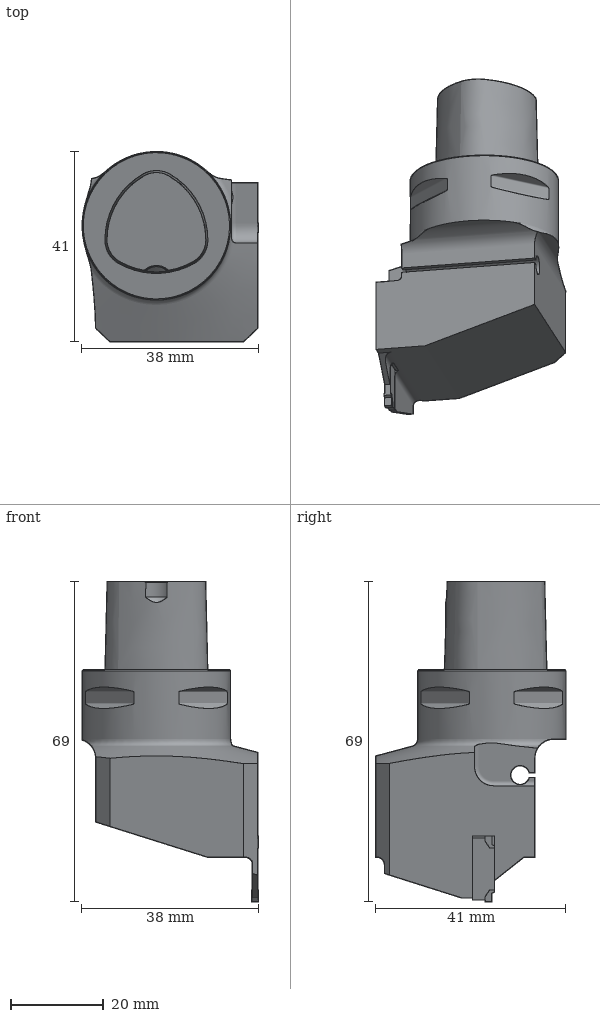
import cadquery as cq
import math


SHANK_LENGTH = 19.0
SHANK_TAPER = 1.35
LOBE_COUNT = 3
LOBE_OFFSET = 6.1
LOBE_RADIUS = 5.8

NOTCH_RADIUS = 3.4
NOTCH_DEPTH = 3.4
NOTCH_RIM_CHAMFER = 0.25
NOTCH_AXIS_Y = -12.2
NOTCH_POINT_HALF_ANGLE = 45.0

FLANGE_RADIUS = 16.0
FLANGE_HEIGHT = 15.0
FLANGE_CHAMFER = 0.25
GROOVE_COUNT = 4
GROOVE_FLOOR_DISTANCE = 14.2
GROOVE_CENTRE_Z = -6.05
GROOVE_FLOOR_HEIGHT = 2.7
GROOVE_RIM_HEIGHT = 4.6
GROOVE_ROOT_RADIUS = 0.35

BLOCK_LEFT_X = -13.1
BLOCK_RIGHT_X = 21.85
BLOCK_FRONT_Y = -25.0
BLOCK_BACK_Y = 9.3
BLOCK_BOTTOM_Z = -40.4
BLOCK_LOW_LEFT_Z = -32.8
BLOCK_SLOPE_END_X = 11.0
CORNER_CHAMFER_X = 3.1
CORNER_CHAMFER_Y = 2.95
FLARE_RADIUS = 4.0
SHOULDER_ANGLE = 15.0
SHOULDER_FILLET = 1.5
SHOULDER_REACH = 40.0

CORNER_WALL_X = 16.2
CORNER_WALL_Y = -3.7
CORNER_DEPTH = 10.0
CORNER_WALL_FILLET = 1.0
CORNER_END_FILLET = 4.1

RELIEF_RADIUS = 2.0
RELIEF_Y = 6.1
RELIEF_Z = -22.7
SLIT_WIDTH = 1.0

INSERT_TIP_Z = -50.0
INSERT_TOP_Z = -35.8
INSERT_MID_Z = (INSERT_TIP_Z + INSERT_TOP_Z) / 2
INSERT_FRONT_Y = -4.2
INSERT_BACK_Y = 0.6
INSERT_HEAD_LEFT_X = 20.5
INSERT_HEAD_RIGHT_X = 22.02
INSERT_SIDE_RELIEF = 0.1
INSERT_END_RELIEF = 0.4
HEAD_LENGTH = 2.6
RAKE_LENGTH = 1.8
RAKE_RISE = 0.7
HEAD_SHOULDER_Y = -0.45
HEAD_FRONT_Y = -1.45
HEAD_FRONT_LENGTH = 1.1

BLADE_LEFT_X = 20.7
BLADE_ROOT_RADIUS = 1.6
BLADE_BACK_Y = 6.9
BLADE_SUPPORT_Z = -45.4
BLADE_TOE_Z = -49.2
BLADE_TOE_Y = -6.4
BLADE_HEEL_Y = -23.1
BLADE_HEEL_Z = -43.9
ROOT_CLEARANCE_Z = -40.6

CLEARANCE = 5.0


def polar(centre, radius, degrees):
    """Point at a radius and a direction from a centre."""
    angle = math.radians(degrees)
    return (centre[0] + radius * math.cos(angle), centre[1] + radius * math.sin(angle))


def make_shank():
    """Each flank is centred on the opposite lobe, which gives the section a constant width."""
    step = 360 / LOBE_COUNT
    lobe_spacing = 2 * LOBE_OFFSET * math.sin(math.radians(step / 2))
    flank_radius = LOBE_RADIUS + lobe_spacing
    half_arc = step / 4
    first_lobe_angle = 90
    first_centre = polar((0, 0), LOBE_OFFSET, first_lobe_angle)
    first_point = polar(first_centre, LOBE_RADIUS, first_lobe_angle - half_arc)
    section = cq.Workplane("XY").moveTo(*first_point)
    for index in range(LOBE_COUNT):
        lobe_angle = first_lobe_angle + index * step
        flank_angle = lobe_angle + step / 2
        lobe_centre = polar((0, 0), LOBE_OFFSET, lobe_angle)
        flank_centre = polar((0, 0), LOBE_OFFSET, flank_angle + 180)
        section = section.threePointArc(
            polar(lobe_centre, LOBE_RADIUS, lobe_angle),
            polar(lobe_centre, LOBE_RADIUS, lobe_angle + half_arc),
        )
        section = section.threePointArc(
            polar(flank_centre, flank_radius, flank_angle),
            polar(flank_centre, flank_radius, flank_angle + half_arc),
        )
    shank = section.close().extrude(SHANK_LENGTH, taper=SHANK_TAPER)
    return shank.cut(make_orienting_notch())


def make_orienting_notch():
    floor_z = SHANK_LENGTH - NOTCH_DEPTH
    point_z = floor_z - NOTCH_RADIUS / math.tan(math.radians(NOTCH_POINT_HALF_ANGLE))
    return (
        cq.Workplane("XZ", origin=(0, NOTCH_AXIS_Y, 0))
        .moveTo(0, SHANK_LENGTH)
        .lineTo(NOTCH_RADIUS + NOTCH_RIM_CHAMFER, SHANK_LENGTH)
        .lineTo(NOTCH_RADIUS, SHANK_LENGTH - NOTCH_RIM_CHAMFER)
        .lineTo(NOTCH_RADIUS, floor_z)
        .lineTo(0, point_z)
        .close()
        .revolve(360, (0, 0, 0), (0, 1, 0))
    )


def make_groove():
    """Cutter for one gripper groove, with its floor facing +X."""
    flare = (GROOVE_RIM_HEIGHT - GROOVE_FLOOR_HEIGHT) / 2 / (FLANGE_RADIUS - GROOVE_FLOOR_DISTANCE)
    rim_x = FLANGE_RADIUS + CLEARANCE
    half_floor = GROOVE_FLOOR_HEIGHT / 2
    half_rim = half_floor + flare * (rim_x - GROOVE_FLOOR_DISTANCE)
    return (
        cq.Workplane("XZ", origin=(0, 0, GROOVE_CENTRE_Z))
        .moveTo(GROOVE_FLOOR_DISTANCE, half_floor)
        .lineTo(rim_x, half_rim)
        .lineTo(rim_x, -half_rim)
        .lineTo(GROOVE_FLOOR_DISTANCE, -half_floor)
        .close()
        .extrude(FLANGE_RADIUS, both=True)
        .edges("<X")
        .edges("|Y")
        .fillet(GROOVE_ROOT_RADIUS)
    )


def make_flange():
    flange = (
        cq.Workplane("XY")
        .circle(FLANGE_RADIUS)
        .extrude(-FLANGE_HEIGHT)
        .faces(">Z")
        .edges()
        .chamfer(FLANGE_CHAMFER)
    )
    step = 360 / GROOVE_COUNT
    for index in range(GROOVE_COUNT):
        angle = step * (index + 0.5)
        flange = flange.cut(make_groove().rotate((0, 0, 0), (0, 0, 1), angle))
    return flange


def make_shoulder_envelope():
    """Everything below the conical shoulder and the fillet that joins it to the flange."""
    angle = math.radians(SHOULDER_ANGLE)
    fillet_turn = math.pi / 2 - angle
    fillet_r = FLANGE_RADIUS + SHOULDER_FILLET * (1 - math.cos(fillet_turn))
    fillet_z = -FLANGE_HEIGHT - SHOULDER_FILLET * math.sin(fillet_turn)
    mid_r = FLANGE_RADIUS + SHOULDER_FILLET * (1 - math.cos(fillet_turn / 2))
    mid_z = -FLANGE_HEIGHT - SHOULDER_FILLET * math.sin(fillet_turn / 2)
    rim_z = fillet_z - (SHOULDER_REACH - fillet_r) * math.tan(angle)
    floor_z = INSERT_TIP_Z - CLEARANCE
    return (
        cq.Workplane("XZ")
        .moveTo(0, -FLANGE_HEIGHT)
        .lineTo(FLANGE_RADIUS, -FLANGE_HEIGHT)
        .threePointArc((mid_r, mid_z), (fillet_r, fillet_z))
        .lineTo(SHOULDER_REACH, rim_z)
        .lineTo(SHOULDER_REACH, floor_z)
        .lineTo(0, floor_z)
        .close()
        .revolve(360, (0, 0, 0), (0, 1, 0))
    )


def make_front_outline():
    """Head and blade seen along Y: flared left wall, sloping bottom and thin blade at the right."""
    flare_z = -FLANGE_HEIGHT - FLARE_RADIUS
    root_x = BLADE_LEFT_X - BLADE_ROOT_RADIUS
    return (
        cq.Workplane("XZ")
        .moveTo(BLOCK_RIGHT_X, -FLANGE_HEIGHT)
        .lineTo(BLOCK_LEFT_X - FLARE_RADIUS, -FLANGE_HEIGHT)
        .radiusArc((BLOCK_LEFT_X, flare_z), FLARE_RADIUS)
        .lineTo(BLOCK_LEFT_X, BLOCK_LOW_LEFT_Z)
        .lineTo(BLOCK_SLOPE_END_X, BLOCK_BOTTOM_Z)
        .lineTo(root_x, BLOCK_BOTTOM_Z)
        .radiusArc((BLADE_LEFT_X, BLOCK_BOTTOM_Z - BLADE_ROOT_RADIUS), BLADE_ROOT_RADIUS)
        .lineTo(BLADE_LEFT_X, INSERT_TIP_Z)
        .lineTo(BLOCK_RIGHT_X, INSERT_TIP_Z)
        .close()
        .extrude(SHOULDER_REACH, both=True)
    )


def make_side_outline():
    """Head and blade seen along X: flared back wall and tapering blade."""
    flare_z = -FLANGE_HEIGHT - FLARE_RADIUS
    return (
        cq.Workplane("YZ")
        .moveTo(BLOCK_FRONT_Y, -FLANGE_HEIGHT)
        .lineTo(BLOCK_BACK_Y + FLARE_RADIUS, -FLANGE_HEIGHT)
        .radiusArc((BLOCK_BACK_Y, flare_z), -FLARE_RADIUS)
        .lineTo(BLOCK_BACK_Y, BLOCK_BOTTOM_Z)
        .lineTo(BLADE_BACK_Y, BLOCK_BOTTOM_Z)
        .lineTo(INSERT_BACK_Y, BLADE_SUPPORT_Z)
        .lineTo(INSERT_FRONT_Y, BLADE_TOE_Z)
        .lineTo(BLADE_TOE_Y, BLADE_TOE_Z)
        .lineTo(BLADE_HEEL_Y, BLADE_HEEL_Z)
        .lineTo(BLOCK_FRONT_Y, BLADE_HEEL_Z)
        .close()
        .extrude(SHOULDER_REACH, both=True)
    )


def make_plan_outline():
    """Plan of the head with its two front corners cut off."""
    back_y = BLOCK_BACK_Y + FLARE_RADIUS
    left_x = BLOCK_LEFT_X - FLARE_RADIUS
    chamfer_y = BLOCK_FRONT_Y + CORNER_CHAMFER_Y
    chamfer_slope = CORNER_CHAMFER_Y / CORNER_CHAMFER_X
    return (
        cq.Workplane("XY")
        .moveTo(BLOCK_RIGHT_X, back_y)
        .lineTo(BLOCK_RIGHT_X, chamfer_y)
        .lineTo(BLOCK_RIGHT_X - CORNER_CHAMFER_X, BLOCK_FRONT_Y)
        .lineTo(BLOCK_LEFT_X + CORNER_CHAMFER_X, BLOCK_FRONT_Y)
        .lineTo(left_x, chamfer_y + FLARE_RADIUS * chamfer_slope)
        .lineTo(left_x, back_y)
        .close()
        .extrude(INSERT_TIP_Z)
    )


def make_corner_pocket():
    floor_z = -FLANGE_HEIGHT - CORNER_DEPTH
    size_x = BLOCK_RIGHT_X - CORNER_WALL_X + CLEARANCE
    size_y = BLOCK_BACK_Y + FLARE_RADIUS - CORNER_WALL_Y + CLEARANCE
    return (
        cq.Workplane("XY", origin=(CORNER_WALL_X, CORNER_WALL_Y, floor_z))
        .box(size_x, size_y, CORNER_DEPTH, centered=False)
        .edges("<Y and <Z")
        .fillet(CORNER_END_FILLET)
        .faces("<X")
        .edges("not (>Y or >Z)")
        .fillet(CORNER_WALL_FILLET)
    )


def make_relief():
    hole = (
        cq.Workplane("YZ", origin=(-SHOULDER_REACH, RELIEF_Y, RELIEF_Z))
        .circle(RELIEF_RADIUS)
        .extrude(2 * SHOULDER_REACH)
    )
    slit = (
        cq.Workplane("XY", origin=(0, RELIEF_Y, RELIEF_Z))
        .box(2 * SHOULDER_REACH, SHOULDER_REACH, SLIT_WIDTH, centered=(True, False, True))
    )
    return hole.union(slit)


def make_insert_seat():
    """Slot for the insert, with clearance through the blade root below the head."""
    width = INSERT_BACK_Y - INSERT_FRONT_Y
    slot_floor_z = INSERT_TIP_Z - CLEARANCE
    slot = (
        cq.Workplane("XY", origin=(INSERT_HEAD_LEFT_X, INSERT_FRONT_Y, slot_floor_z))
        .box(CLEARANCE, width, INSERT_TOP_Z - slot_floor_z, centered=False)
    )
    root_clearance = (
        cq.Workplane("XY", origin=(INSERT_HEAD_LEFT_X - CLEARANCE, INSERT_FRONT_Y, slot_floor_z))
        .box(CLEARANCE, width, ROOT_CLEARANCE_Z - slot_floor_z, centered=False)
    )
    return slot.union(root_clearance)


def make_holder():
    head = make_front_outline().intersect(make_side_outline()).intersect(make_plan_outline())
    head = head.intersect(make_shoulder_envelope())
    head = head.cut(make_corner_pocket()).cut(make_relief()).cut(make_insert_seat())
    return make_flange().union(make_shank()).union(head)


def make_cutting_head():
    """Lower cutting head, wider than the insert body."""
    return (
        cq.Workplane("YZ", origin=(INSERT_HEAD_LEFT_X, 0, INSERT_TIP_Z))
        .moveTo(0, 0)
        .lineTo(0, RAKE_LENGTH)
        .lineTo(INSERT_BACK_Y, RAKE_LENGTH + RAKE_RISE / 2)
        .lineTo(INSERT_BACK_Y, HEAD_LENGTH)
        .lineTo(HEAD_SHOULDER_Y, HEAD_LENGTH)
        .lineTo(HEAD_FRONT_Y, HEAD_FRONT_LENGTH)
        .lineTo(HEAD_FRONT_Y, 0)
        .close()
        .extrude(INSERT_HEAD_RIGHT_X - INSERT_HEAD_LEFT_X)
    )


def make_insert():
    end_z = INSERT_TIP_Z + INSERT_END_RELIEF
    neck_z = INSERT_TIP_Z + HEAD_LENGTH
    body_left_x = INSERT_HEAD_LEFT_X + INSERT_SIDE_RELIEF
    body = (
        cq.Workplane("YZ", origin=(body_left_x, 0, 0))
        .moveTo(INSERT_FRONT_Y, INSERT_MID_Z)
        .lineTo(INSERT_FRONT_Y, end_z)
        .lineTo(HEAD_SHOULDER_Y, end_z)
        .lineTo(HEAD_SHOULDER_Y, neck_z)
        .lineTo(INSERT_BACK_Y, neck_z)
        .lineTo(INSERT_BACK_Y, INSERT_MID_Z)
        .close()
        .extrude(BLOCK_RIGHT_X - body_left_x)
    )
    half = body.union(make_cutting_head())
    return half.union(half.mirror("XY", (0, 0, INSERT_MID_Z)))


holder = make_holder()
insert = make_insert()
result = cq.Compound.makeCompound([holder.val(), insert.val()])